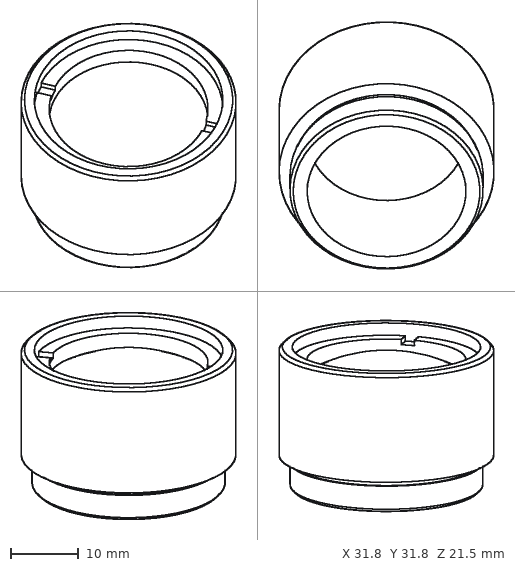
import cadquery as cq
import math

body_radius = 15.88
total_height = 21.5
top_chamfer = 0.5
spigot_radius = 14.25
spigot_height = 4.0
spigot_chamfer = 0.48
relief_radius = 13.9
relief_height = 1.02

ring_radius = 13.9
ring_inner_radius = 11.72
ring_height = 2.5
ring_recess = 1.87
slot_width = 2.0
slot_depth = 0.83

lens_radius = 12.7
lens_edge_height = 2.0
dome_rise = 3.08
dome_radius = (ring_inner_radius**2 + dome_rise**2) / (2 * dome_rise)

ring_bottom = total_height - ring_recess - ring_height
lens_apex = ring_bottom + dome_rise
dome_center = lens_apex - dome_radius
dome_edge = dome_center + math.sqrt(dome_radius**2 - lens_radius**2)
lens_bottom = dome_edge - lens_edge_height


def cylinder(radius, height, bottom=0.0):
    return cq.Workplane("XY").workplane(offset=bottom).circle(radius).extrude(height)


def make_housing():
    """Barrel on a grooved spigot, with a bore stepped for the ring and lens."""
    shoulder = spigot_height + relief_height
    barrel = cylinder(body_radius, total_height - shoulder, shoulder)
    barrel = barrel.faces(">Z").edges().chamfer(top_chamfer)
    relief = cylinder(relief_radius, relief_height, spigot_height)
    spigot = cylinder(spigot_radius, spigot_height)
    spigot = spigot.faces("<Z").edges().chamfer(spigot_chamfer)

    aperture = cylinder(ring_inner_radius, total_height)
    lens_seat = cylinder(lens_radius, total_height - lens_bottom, lens_bottom)
    ring_bore = cylinder(ring_radius, total_height - ring_bottom, ring_bottom)
    return barrel.union(relief).union(spigot).cut(aperture).cut(lens_seat).cut(ring_bore)


def make_retaining_ring():
    """Flat ring with a spanner slot across its top face."""
    blank = cylinder(ring_radius, ring_height, ring_bottom)
    hole = cylinder(ring_inner_radius, ring_height, ring_bottom)
    slot = (
        cq.Workplane("XY")
        .workplane(offset=ring_bottom + ring_height - slot_depth)
        .rect(2 * ring_radius, slot_width)
        .extrude(slot_depth)
    )
    return blank.cut(hole).cut(slot)


def make_lens():
    """Disc with a flat underside and a spherical top, revolved about Z."""
    half_edge_angle = math.asin(lens_radius / dome_radius) / 2
    arc_middle = (
        dome_radius * math.sin(half_edge_angle),
        dome_center + dome_radius * math.cos(half_edge_angle),
    )
    return (
        cq.Workplane("XZ")
        .moveTo(0, lens_bottom)
        .lineTo(lens_radius, lens_bottom)
        .lineTo(lens_radius, dome_edge)
        .threePointArc(arc_middle, (0, lens_apex))
        .close()
        .revolve(360, (0, 0, 0), (0, 1, 0))
    )


housing = make_housing()
retaining_ring = make_retaining_ring()
lens = make_lens()

result = cq.Compound.makeCompound([housing.val(), retaining_ring.val(), lens.val()])